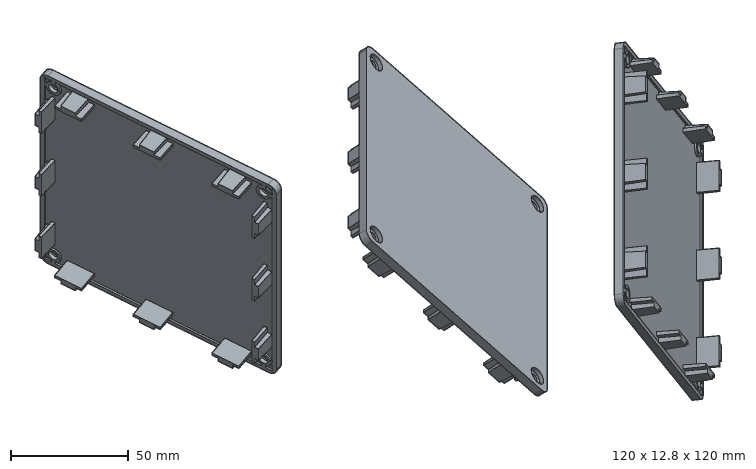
import cadquery as cq
import math

side = 120.0
plate_thickness = 4.0
corner_radius = 4.1
rim_width = 2.2
recess_depth = 1.0

hole_offset = 53.4
hole_diameter = 4.5
counterbore_diameter = 8.0
counterbore_depth = 2.0
boss_diameter = 7.3
web_width = 2.0

total_depth = 12.8
tab_spacing = 40.0
bar_length = 13.7
cap_length = 8.2
cap_outer_offset = 57.1
step_offset = 54.8
bar_inner_offset = 53.0
tab_draft = 2.3

floor_y = recess_depth
back_y = plate_thickness
tip_y = back_y - total_depth
tab_height = floor_y - tip_y
draft_inset = tab_height * math.tan(math.radians(tab_draft))

hole_centres = [(x * hole_offset, z * hole_offset) for x in (-1, 1) for z in (-1, 1)]


def xz_plane(y):
    """Workplane with local axes X and Z, facing -Y."""
    return cq.Workplane("XZ", origin=(0, y, 0))


def make_plate():
    """Rounded square plate with a square recess inside a raised rim."""
    blank = xz_plane(back_y).rect(side, side).extrude(plate_thickness)
    plate = blank.edges("|Y").fillet(corner_radius)
    recess_side = side - 2 * rim_width
    recess = xz_plane(floor_y).rect(recess_side, recess_side).extrude(recess_depth)
    return plate.cut(recess)


def make_boss(x, z):
    """Round boss flush with the rim, joined to it by two short webs."""
    floor = xz_plane(floor_y)
    web_length = side / 2 - rim_width / 2 - hole_offset
    web_shift = web_length / 2
    web_x = x + math.copysign(web_shift, x)
    web_z = z + math.copysign(web_shift, z)
    boss = floor.moveTo(x, z).circle(boss_diameter / 2).extrude(recess_depth)
    side_web = floor.moveTo(web_x, z).rect(web_length, web_width).extrude(recess_depth)
    end_web = floor.moveTo(x, web_z).rect(web_width, web_length).extrude(recess_depth)
    return boss.union(side_web).union(end_web)


def tab_block(length, inner, outer, inner_inset, outer_inset, end_inset):
    """Block from the recess floor to the tab tip whose faces lean in by the given insets."""
    tip_inner = inner + inner_inset
    tip_outer = outer - outer_inset
    tip_length = length - 2 * end_inset
    base_middle = (inner + outer) / 2
    tip_middle = (tip_inner + tip_outer) / 2
    return (
        xz_plane(floor_y)
        .center(0, base_middle)
        .rect(length, outer - inner)
        .workplane(offset=tab_height)
        .center(0, tip_middle - base_middle)
        .rect(tip_length, tip_outer - tip_inner)
        .loft(ruled=True)
    )


def make_tab():
    """Tab at the middle of the +Z edge: a wide inner bar with a narrower cap outside it."""
    bar = tab_block(bar_length, bar_inner_offset, step_offset, draft_inset, 0, 0)
    cap_inner = bar_inner_offset + draft_inset
    cap = tab_block(cap_length, cap_inner, cap_outer_offset, 0, draft_inset, draft_inset)
    return bar.union(cap)


def drill_screw_holes(body):
    """Through holes in the bosses with counterbores in the rear face."""
    rear_plane = cq.Plane(origin=(0, back_y, 0), xDir=(1, 0, 0), normal=(0, 1, 0))
    return (
        cq.Workplane(rear_plane)
        .newObject([body.val()])
        .pushPoints(hole_centres)
        .cboreHole(hole_diameter, counterbore_diameter, counterbore_depth)
    )


result = make_plate()

for x, z in hole_centres:
    result = result.union(make_boss(x, z))

tab = make_tab()
for shift in (-tab_spacing, 0, tab_spacing):
    shifted_tab = tab.translate((shift, 0, 0))
    for angle in (0, 90, 180, 270):
        result = result.union(shifted_tab.rotate((0, 0, 0), (0, 1, 0), angle))

result = drill_screw_holes(result)